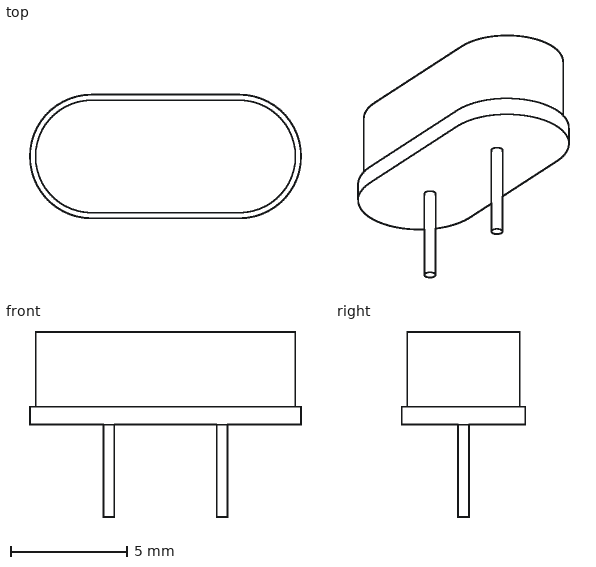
import cadquery as cq

base_length = 11.69
base_width = 5.34
base_height = 0.78
rim_width = 0.245
can_height = 3.22
pin_diameter = 0.48
pin_length = 3.98
pin_spacing = 4.88

can_length = base_length - 2 * rim_width
can_width = base_width - 2 * rim_width


def rounded_block(length, width, height, bottom):
    """Upright block with full-round ends along X."""
    return cq.Workplane("XY").workplane(offset=bottom).slot2D(length, width).extrude(height)


def lead_pin(x):
    """Straight round lead hanging from the underside of the base."""
    return cq.Workplane("XY").center(x, 0).circle(pin_diameter / 2).extrude(-pin_length)


base = rounded_block(base_length, base_width, base_height, 0)

can = rounded_block(can_length, can_width, can_height, base_height)

pins = [lead_pin(side * pin_spacing / 2) for side in (-1, 1)]

result = cq.Compound.makeCompound([base.val(), can.val(), *[pin.val() for pin in pins]])